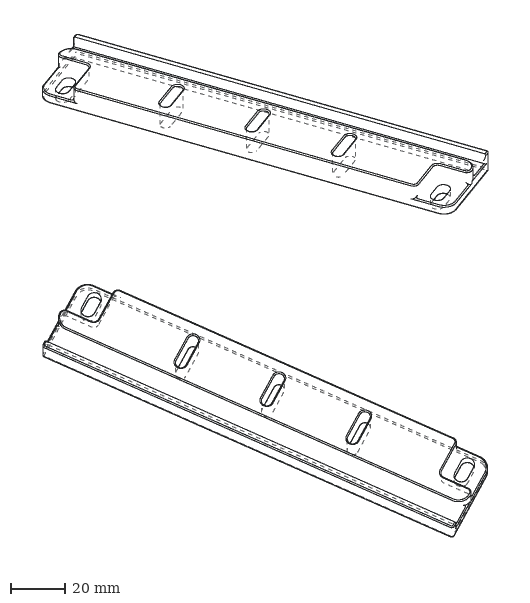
import cadquery as cq

length = 168.4
depth = 32.8
height = 10.0
edge = 0.5

pad_height = 4.0
channel_height = 4.9
lip_height = 9.0
lip_top_width = 2.5
lip_root_width = 3.2
lip_slope_start = 6.0
lip_radius = 1.0

notch_length = 14.0
notch_depth = 16.0
large_radius = 5.0
small_radius = 2.0
foot_radius = 0.8

block_slot_spacing = 35.2
block_slot_width = 4.0
block_slot_length = 14.1
block_slot_y = 11.6
pad_slot_inset = 7.7
pad_slot_width = 5.2
pad_slot_length = 10.3
pad_slot_y = 7.5

half_length = length / 2
wall_x = half_length - notch_length
nose_y = notch_depth + small_radius
block_back = nose_y + large_radius
block_bottom = pad_height / 2
lip_root_y = depth - lip_root_width
tolerance = 0.05


def edges_within(x_range, y_range, z_range):
    """Selector for the edges whose centre lies in the given box."""
    return cq.selectors.BoxSelector(*zip(x_range, y_range, z_range))


def around(value):
    """Narrow range about a single coordinate."""
    return (value - tolerance, value + tolerance)


def make_base():
    """Bar of constant cross-section with rounded upright corners and chamfered edges."""
    section = [
        (0, 0),
        (depth, 0),
        (depth, lip_height),
        (lip_root_y, lip_height),
        (lip_root_y, channel_height),
        (nose_y, channel_height),
        (nose_y, pad_height),
        (0, pad_height),
    ]
    bar = cq.Workplane("YZ").polyline(section).close().extrude(half_length, both=True)
    bar = bar.faces("<Y").edges("|Z").fillet(large_radius)
    bar = bar.faces(">Y").edges("|Z").fillet(lip_radius)
    for end_x in (-half_length, half_length):
        lip_corner = edges_within(around(end_x), around(lip_root_y), (channel_height, lip_height))
        bar = bar.edges(lip_corner).fillet(lip_radius)
    return bar.faces("<X or >X or <Y or >Y or <Z or >Z").edges().chamfer(edge)


def lip_slope():
    """Cutter that leans the inner face of the lip back."""
    section = [
        (lip_root_y, lip_slope_start),
        (depth - lip_top_width, lip_height),
        (lip_root_y, lip_height),
    ]
    return cq.Workplane("YZ").polyline(section).close().extrude(half_length, both=True)


def make_block():
    """Raised block with rounded notches and a chamfered top edge."""
    half_outline = (
        cq.Workplane("XY", origin=(0, 0, block_bottom))
        .lineTo(wall_x - small_radius, 0)
        .radiusArc((wall_x, small_radius), -small_radius)
        .lineTo(wall_x, notch_depth - small_radius)
        .radiusArc((wall_x + small_radius, notch_depth), small_radius)
        .lineTo(half_length - small_radius, notch_depth)
        .radiusArc((half_length, nose_y), -small_radius)
        .radiusArc((half_length - large_radius, block_back), -large_radius)
        .lineTo(0, block_back)
    )
    block = half_outline.mirrorY().extrude(height - block_bottom)
    return block.faces(">Z").edges().chamfer(edge)


def fillet_foot(part):
    """Round the inner corner where the walls of the block meet the pads and the channel floor."""
    end_x = half_length - edge - tolerance
    for side in (-1, 1):
        inner_x = side * (wall_x - edge)
        pad_z = around(pad_height)
        long_wall = edges_within((inner_x, side * end_x), (notch_depth - small_radius, nose_y), pad_z)
        side_wall = edges_within(
            (inner_x, side * (wall_x + edge)), (edge + tolerance, notch_depth), pad_z
        )
        part = part.edges(long_wall + side_wall).fillet(foot_radius)
    back_wall = edges_within(
        (-end_x, end_x), (nose_y, block_back + tolerance), around(channel_height)
    )
    return part.edges(back_wall).fillet(foot_radius)


def slot(x, y, width, slot_length):
    """Full-height cutter for a slot along Y, centred on (x, y)."""
    return cq.Workplane("XY").center(x, y).slot2D(slot_length, width, 90).extrude(height)


def block_slot(x):
    """Cutter for a slot through the block, flared at the top."""
    plain = slot(x, block_slot_y, block_slot_width, block_slot_length)
    wide = slot(x, block_slot_y, block_slot_width + 2 * edge, block_slot_length + 2 * edge)
    flare = wide.faces("<Z").edges().chamfer(edge).translate((0, 0, height - edge))
    return plain.union(flare)


base = make_base().cut(lip_slope())
result = fillet_foot(base.union(make_block()))

for position in (-1, 0, 1):
    result = result.cut(block_slot(position * block_slot_spacing))

for side in (-1, 1):
    pad_slot_x = side * (half_length - pad_slot_inset)
    result = result.cut(slot(pad_slot_x, pad_slot_y, pad_slot_width, pad_slot_length))